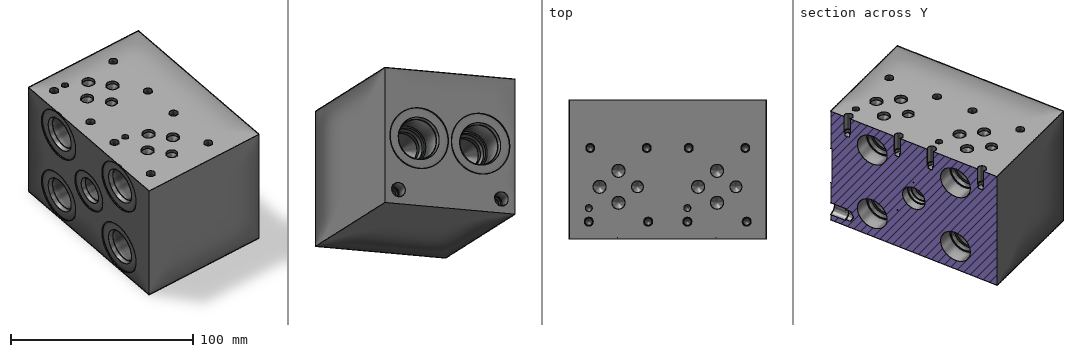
import cadquery as cq
import math

LENGTH = 108.0
WIDTH = 76.2
HEIGHT = 76.2
MID_HEIGHT = HEIGHT / 2

DRILL_POINT_ANGLE = 118.0

SPOTFACE_DEPTH = 0.8
SEAT_DEPTH = 3.2
WORK_PORT = dict(
    spotface=30.7, seat=20.5, seat_end=19.2,
    thread=19.0, thread_depth=17.3,
    tap_drill=17.5, tap_depth=20.5,
    drill=15.9, drill_depth=24.8,
)
MAIN_PORT = dict(
    spotface=34.1, seat=23.9, seat_end=22.6,
    thread=22.2, thread_depth=19.4,
    tap_drill=20.4, tap_depth=22.7,
    drill=17.5, drill_depth=27.0,
)
GAUGE_PORT = dict(
    spotface=25.0, seat=15.4, seat_end=14.5,
    thread=14.2, thread_depth=13.0,
    tap_drill=12.8, tap_depth=15.1,
    drill=12.2, drill_depth=18.4,
)
WORK_PORT_PITCH_X = 54.0
WORK_PORT_PITCH_Z = 44.5
MAIN_PORT_PITCH = 36.0

MOUNT_INSET = 8.0
MOUNT_THREAD = 7.9
MOUNT_THREAD_DEPTH = 9.7
MOUNT_DRILL = 6.5
MOUNT_DRILL_DEPTH = 13.0

STATION_PITCH = 54.0
STATION_Y = 28.6
BIG_PASSAGE = 7.1
SMALL_PASSAGE = 6.5
PASSAGE_DEPTH = 1.9
PASSAGE_OFFSET_X = 10.4
PASSAGE_OFFSET_Y = 8.7
BOLT_THREAD = 4.9
BOLT_THREAD_DEPTH = 10.8
BOLT_DRILL = 4.0
BOLT_DRILL_DEPTH = 13.0
BACK_BOLT_PITCH = 31.0
BACK_BOLT_Y = 49.9
FRONT_BOLT_PITCH = 32.5
FRONT_BOLT_Y = 9.5
PIN_DIAMETER = 3.8
PIN_DEPTH = 5.4
PIN_Y = 17.0


def cone_depth(diameter):
    """Axial length of a drill cone with the given base diameter."""
    return diameter / 2 / math.tan(math.radians(DRILL_POINT_ANGLE / 2))


def turned_cutter(profile):
    """Revolve (diameter, depth) points about Z into a cutter that ends in a drill cone."""
    last_diameter, last_depth = profile[-1]
    tip_depth = last_depth + cone_depth(last_diameter)
    outline = [(0, 0)]
    outline += [(diameter / 2, depth) for diameter, depth in profile]
    outline += [(0, tip_depth)]
    return cq.Workplane("XZ").polyline(outline).close().revolve(360, (0, 0), (0, 1))


def port_cutter(port):
    shoulder_depth = port["tap_depth"] + cone_depth(port["tap_drill"] - port["drill"])
    return turned_cutter([
        (port["spotface"], 0),
        (port["spotface"], SPOTFACE_DEPTH),
        (port["seat"], SPOTFACE_DEPTH),
        (port["seat_end"], SEAT_DEPTH),
        (port["thread"], SEAT_DEPTH),
        (port["thread"], port["thread_depth"]),
        (port["tap_drill"], port["thread_depth"]),
        (port["tap_drill"], port["tap_depth"]),
        (port["drill"], shoulder_depth),
        (port["drill"], port["drill_depth"]),
    ])


def tapped_cutter(thread, thread_depth, drill, drill_depth):
    return turned_cutter([
        (thread, 0),
        (thread, thread_depth),
        (drill, thread_depth),
        (drill, drill_depth),
    ])


def drilled_cutter(diameter, depth):
    return turned_cutter([(diameter, 0), (diameter, depth)])


def on_front(cutter, x, z):
    """Turn a cutter to enter the -Y face along +Y."""
    return cutter.rotate((0, 0, 0), (1, 0, 0), -90).translate((x, 0, z))


def on_left(cutter, y, z):
    """Turn a cutter to enter the -X face along +X."""
    return cutter.rotate((0, 0, 0), (0, 1, 0), 90).translate((0, y, z))


def on_top(cutter, x, y):
    """Turn a cutter to enter the top face along -Z."""
    return cutter.rotate((0, 0, 0), (1, 0, 0), 180).translate((x, y, HEIGHT))


def cut_front_ports(block):
    """Four work ports around one gauge port."""
    block = block.cut(on_front(port_cutter(GAUGE_PORT), LENGTH / 2, MID_HEIGHT))
    work_port = port_cutter(WORK_PORT)
    for side in (-1, 1):
        for level in (-1, 1):
            x = LENGTH / 2 + side * WORK_PORT_PITCH_X / 2
            z = MID_HEIGHT + level * WORK_PORT_PITCH_Z / 2
            block = block.cut(on_front(work_port, x, z))
    return block


def cut_left_face(block):
    """Two main ports with a mounting hole below each."""
    main_port = port_cutter(MAIN_PORT)
    mount = tapped_cutter(MOUNT_THREAD, MOUNT_THREAD_DEPTH, MOUNT_DRILL, MOUNT_DRILL_DEPTH)
    for side in (-1, 1):
        port_y = WIDTH / 2 + side * MAIN_PORT_PITCH / 2
        mount_y = WIDTH / 2 + side * (WIDTH / 2 - MOUNT_INSET)
        block = block.cut(on_left(main_port, port_y, MID_HEIGHT))
        block = block.cut(on_left(mount, mount_y, MOUNT_INSET))
    return block


def cut_valve_station(block, center_x):
    """Diamond of four passages, four bolt holes and one locating pin hole."""
    big_passage = drilled_cutter(BIG_PASSAGE, PASSAGE_DEPTH)
    small_passage = drilled_cutter(SMALL_PASSAGE, PASSAGE_DEPTH)
    pin = drilled_cutter(PIN_DIAMETER, PIN_DEPTH)
    bolt = tapped_cutter(BOLT_THREAD, BOLT_THREAD_DEPTH, BOLT_DRILL, BOLT_DRILL_DEPTH)
    block = block.cut(on_top(big_passage, center_x - PASSAGE_OFFSET_X, STATION_Y))
    block = block.cut(on_top(small_passage, center_x + PASSAGE_OFFSET_X, STATION_Y))
    block = block.cut(on_top(pin, center_x - FRONT_BOLT_PITCH / 2, PIN_Y))
    for side in (-1, 1):
        block = block.cut(on_top(big_passage, center_x, STATION_Y + side * PASSAGE_OFFSET_Y))
        block = block.cut(on_top(bolt, center_x + side * BACK_BOLT_PITCH / 2, BACK_BOLT_Y))
        block = block.cut(on_top(bolt, center_x + side * FRONT_BOLT_PITCH / 2, FRONT_BOLT_Y))
    return block


result = cq.Workplane("XY").box(LENGTH, WIDTH, HEIGHT, centered=False)
result = cut_front_ports(result)
result = cut_left_face(result)
for station_side in (-1, 1):
    result = cut_valve_station(result, LENGTH / 2 + station_side * STATION_PITCH / 2)